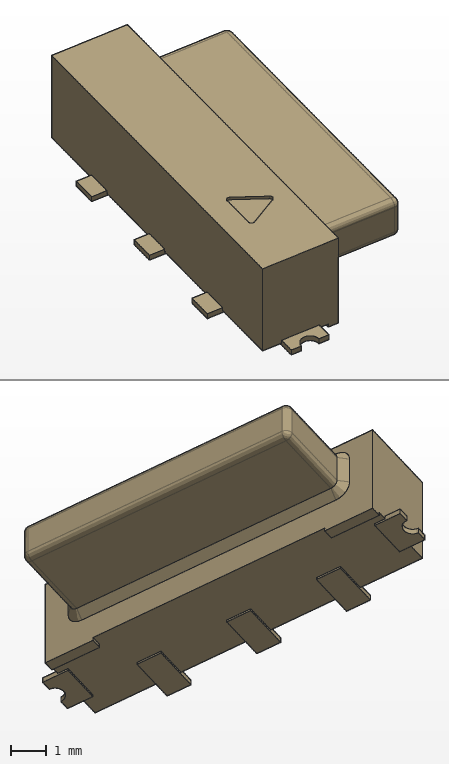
import cadquery as cq
import math


total_length = 11.95
housing_length = 10.95
housing_depth = 2.5
housing_top = 3.08

foot_height = 0.11
foot_length = 1.6
foot_depth = 0.33

tongue_length = 8.9
tongue_thickness = 1.3
tongue_reach = 2.7
tongue_bottom = 1.25
tongue_round = 0.2
flare = 0.25

terminal_bottom = 0.04
terminal_thickness = 0.18
pin_width = 0.8
pin_pitch = 3.0
pin_reach = 0.5
pin_inset = 1.0
tab_width = 1.24
tab_inset = 0.35
tab_notch_radius = 0.29

mark_side = 1.43
mark_round = 0.1
mark_depth = 0.1
mark_centre_y = 1.17

overlap = 0.12


def box(x_start, x_end, y_start, y_end, z_start, z_end):
    """Axis-aligned block between the given limits."""
    size = (x_end - x_start, y_end - y_start, z_end - z_start)
    block = cq.Workplane("XY").box(*size, centered=False)
    return block.translate((x_start, y_start, z_start))


def make_housing():
    """Main block with a foot at each end of its rear lower edge."""
    half = housing_length / 2
    housing = box(-half, half, 0, housing_depth, foot_height, housing_top)
    foot_front = housing_depth - foot_depth
    for x_start in (-half, half - foot_length):
        foot = box(x_start, x_start + foot_length, foot_front, housing_depth, 0, foot_height + overlap)
        housing = housing.union(foot)
    return housing


def rounded_section(y, growth):
    """Rounded tongue section placed at depth y, grown outward by growth."""
    centre = (0, y, tongue_bottom + tongue_thickness / 2)
    section = cq.Workplane("XZ", origin=centre).sketch()
    section = section.rect(tongue_length + 2 * growth, tongue_thickness + 2 * growth)
    return section.vertices().fillet(tongue_round + growth).finalize()


def make_tongue():
    """Bar with rounded edges and a rounded tip."""
    bar = rounded_section(housing_depth - overlap, 0).extrude(-(tongue_reach + overlap))
    return bar.faces(">Y").edges().fillet(tongue_round)


def make_flare():
    """Sloped collar that widens the tongue where it meets the housing."""
    wide_section = rounded_section(housing_depth, flare)
    return wide_section.extrude(-flare, taper=45)


def make_pin(centre_x):
    """Flat terminal leaving the front face."""
    return box(
        centre_x - pin_width / 2, centre_x + pin_width / 2,
        -pin_reach, pin_inset,
        terminal_bottom, terminal_bottom + terminal_thickness,
    )


def make_tab():
    """Flat mounting tab at the -X end, with a half-round notch in its outer edge."""
    outer_x = -total_length / 2
    inner_x = -housing_length / 2 + tab_inset
    centre_y = housing_depth / 2
    tab = box(
        outer_x, inner_x,
        centre_y - tab_width / 2, centre_y + tab_width / 2,
        terminal_bottom, terminal_bottom + terminal_thickness,
    )
    notch = (
        cq.Workplane("XY", origin=(outer_x, centre_y, terminal_bottom))
        .circle(tab_notch_radius)
        .extrude(terminal_thickness)
    )
    return tab.cut(notch)


def make_mark():
    """Cutter for the rounded triangle, with its apex toward the tongue."""
    corner_distance = mark_side / math.sqrt(3)
    mark = (
        cq.Workplane("XY", origin=(pin_pitch, mark_centre_y, housing_top - mark_depth))
        .polyline([
            (0, corner_distance),
            (-mark_side / 2, -corner_distance / 2),
            (mark_side / 2, -corner_distance / 2),
        ])
        .close()
        .extrude(mark_depth)
    )
    return mark.edges("|Z").fillet(mark_round)


result = make_housing().union(make_tongue()).union(make_flare())

for pin_x in (-pin_pitch, 0, pin_pitch):
    result = result.union(make_pin(pin_x))

left_tab = make_tab()
result = result.union(left_tab).union(left_tab.mirror("YZ"))

result = result.cut(make_mark())